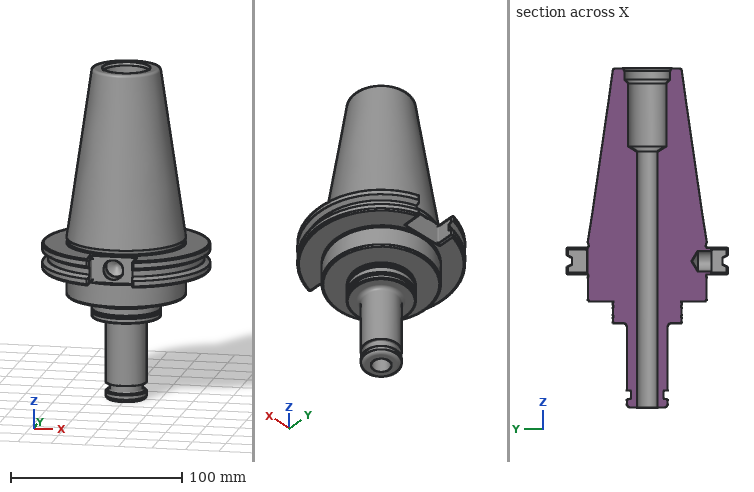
import cadquery as cq
import math


total_height = 198.7
gauge_z = 97.0
flange_top_z = 93.8
flange_bottom_z = 77.9
flange_thickness = flange_top_z - flange_bottom_z
body_bottom_z = 62.2
pilot_bottom_z = 49.5
shank_bottom_z = 10.1
collar_top_z = 5.4

gauge_radius = 70.0 / 2
taper_ratio = 7 / 24
taper_length = total_height - gauge_z
taper_top_radius = gauge_radius - taper_length * taper_ratio / 2
taper_top_fillet = 1.8

body_chamfer = 1.0
relief_depth = 0.5
relief_height = 1.5
upper_relief_lip = 0.8
pilot_radius = 40.5 / 2
pilot_chamfer = 0.5
pilot_groove_depth = 0.4
pilot_groove_height = 2.0
pilot_groove_centers = (59.5, 53.5)
shank_radius = 24.0 / 2
shank_fillet = 2.4
neck_radius = 19.5 / 2
neck_fillet = 0.5
collar_top_chamfer = 0.8
collar_bottom_round = 2.8
collar_edge_z = 2.0

flange_radius = 98.4 / 2
flange_top_chamfer = 0.8
flange_bottom_chamfer = 1.0
groove_z = 85.8
groove_root_radius = 45.9
groove_root_width = 3.8
groove_flank_angle = 30

slot_width = 25.6
front_slot_floor = 37.5
back_slot_floor = 35.2
slot_chamfer = 1.2
slot_corner_fillet = 0.5
dimple_diameter = 11.7
dimple_depth = 8.0
drill_point_angle = 118

through_radius = 12.0 / 2
thread_radius = 22.0 / 2
thread_depth = 45.7
counterbore_radius = 26.5 / 2
counterbore_depth = 6.8
entry_radius = 14.1
entry_depth = 1.8


def drill_point_height(radius):
    return radius / math.tan(math.radians(drill_point_angle / 2))


def revolve(profile):
    """Turn a closed (radius, height) outline about the Z axis."""
    return profile.close().revolve(360, (0, 0, 0), (0, 1, 0))


def make_taper():
    blank = revolve(
        cq.Workplane("XZ")
        .moveTo(0, flange_top_z)
        .lineTo(gauge_radius, flange_top_z)
        .lineTo(gauge_radius - relief_depth, flange_top_z + upper_relief_lip)
        .lineTo(gauge_radius, gauge_z)
        .lineTo(taper_top_radius, total_height)
        .lineTo(0, total_height)
    )
    return blank.faces(">Z").edges().fillet(taper_top_fillet)


def make_lower_end():
    round_reach = math.sqrt(collar_edge_z * (2 * collar_bottom_round - collar_edge_z))
    relief_mid_z = flange_bottom_z - relief_height / 2
    return revolve(
        cq.Workplane("XZ")
        .moveTo(0, 0)
        .lineTo(shank_radius - round_reach, 0)
        .radiusArc((shank_radius, collar_edge_z), -collar_bottom_round)
        .lineTo(shank_radius, collar_top_z - collar_top_chamfer)
        .lineTo(shank_radius - collar_top_chamfer, collar_top_z)
        .lineTo(neck_radius + neck_fillet, collar_top_z)
        .radiusArc((neck_radius, collar_top_z + neck_fillet), neck_fillet)
        .lineTo(neck_radius, shank_bottom_z - neck_fillet)
        .radiusArc((neck_radius + neck_fillet, shank_bottom_z), neck_fillet)
        .lineTo(shank_radius, shank_bottom_z)
        .lineTo(shank_radius, pilot_bottom_z - shank_fillet)
        .radiusArc((shank_radius + shank_fillet, pilot_bottom_z), shank_fillet)
        .lineTo(pilot_radius - pilot_chamfer, pilot_bottom_z)
        .lineTo(pilot_radius, pilot_bottom_z + pilot_chamfer)
        .lineTo(pilot_radius, body_bottom_z - pilot_groove_height / 2)
        .lineTo(pilot_radius - pilot_groove_depth, body_bottom_z)
        .lineTo(gauge_radius - body_chamfer, body_bottom_z)
        .lineTo(gauge_radius, body_bottom_z + body_chamfer)
        .lineTo(gauge_radius, flange_bottom_z - relief_height)
        .lineTo(gauge_radius - relief_depth, relief_mid_z)
        .lineTo(gauge_radius, flange_bottom_z)
        .lineTo(0, flange_bottom_z)
    )


def make_pilot_groove(center_z):
    half_height = pilot_groove_height / 2
    return revolve(
        cq.Workplane("XZ")
        .moveTo(pilot_radius, center_z - half_height)
        .lineTo(pilot_radius - pilot_groove_depth, center_z)
        .lineTo(pilot_radius, center_z + half_height)
    )


def make_flange_groove():
    half_root = groove_root_width / 2
    depth = flange_radius - groove_root_radius
    half_mouth = half_root + depth * math.tan(math.radians(groove_flank_angle))
    return revolve(
        cq.Workplane("XZ")
        .moveTo(groove_root_radius, groove_z - half_root)
        .lineTo(flange_radius, groove_z - half_mouth)
        .lineTo(flange_radius, groove_z + half_mouth)
        .lineTo(groove_root_radius, groove_z + half_root)
    )


def make_slotted_disc():
    """Flange disc with both drive slots: chamfered wall edges and rounded inner corners."""
    disc = (
        cq.Workplane("XY", origin=(0, 0, flange_bottom_z))
        .circle(flange_radius)
        .extrude(flange_thickness)
    )
    for side, floor in ((-1, front_slot_floor), (1, back_slot_floor)):
        slot = (
            cq.Workplane("XY", origin=(0, side * (floor + flange_radius / 2), flange_bottom_z))
            .box(slot_width, flange_radius, flange_thickness, centered=(True, True, False))
        )
        disc = disc.cut(slot)
    corner_limit = front_slot_floor + slot_chamfer
    inner_corners = cq.selectors.BoxSelector(
        (-slot_width, -corner_limit, flange_bottom_z), (slot_width, corner_limit, flange_top_z)
    )
    disc = disc.faces("|X").edges().edges(-inner_corners).chamfer(slot_chamfer)
    return disc.faces("|X").edges("|Z").edges(inner_corners).fillet(slot_corner_fillet)


def make_flange():
    rim = (
        cq.Workplane("XY", origin=(0, 0, flange_bottom_z))
        .circle(flange_radius)
        .extrude(flange_thickness)
        .edges(">Z")
        .chamfer(flange_top_chamfer)
        .edges("<Z")
        .chamfer(flange_bottom_chamfer)
    )
    return make_slotted_disc().intersect(rim).cut(make_flange_groove())


def make_dimple():
    """Drilled blind hole entering the floor of the front slot."""
    radius = dimple_diameter / 2
    bottom_y = -front_slot_floor + dimple_depth
    return (
        cq.Workplane("XY")
        .moveTo(0, -flange_radius)
        .lineTo(radius, -flange_radius)
        .lineTo(radius, bottom_y)
        .lineTo(0, bottom_y + drill_point_height(radius))
        .close()
        .revolve(360, (0, 0, 0), (0, 1, 0))
        .translate((0, 0, groove_z))
    )


def make_bore():
    """Stepped hole along the axis, open at both ends."""
    counterbore_z = total_height - counterbore_depth
    shoulder_z = counterbore_z - (counterbore_radius - thread_radius)
    thread_bottom_z = total_height - thread_depth
    point_bottom_z = thread_bottom_z - drill_point_height(thread_radius - through_radius)
    return revolve(
        cq.Workplane("XZ")
        .lineTo(through_radius, 0)
        .lineTo(through_radius, point_bottom_z)
        .lineTo(thread_radius, thread_bottom_z)
        .lineTo(thread_radius, shoulder_z)
        .lineTo(counterbore_radius, counterbore_z)
        .lineTo(counterbore_radius, total_height - entry_depth)
        .lineTo(entry_radius, total_height)
        .lineTo(0, total_height)
    )


lower_end = make_lower_end()
for center_z in pilot_groove_centers:
    lower_end = lower_end.cut(make_pilot_groove(center_z))

result = (
    make_taper()
    .union(make_flange())
    .union(lower_end)
    .cut(make_dimple())
    .cut(make_bore())
)